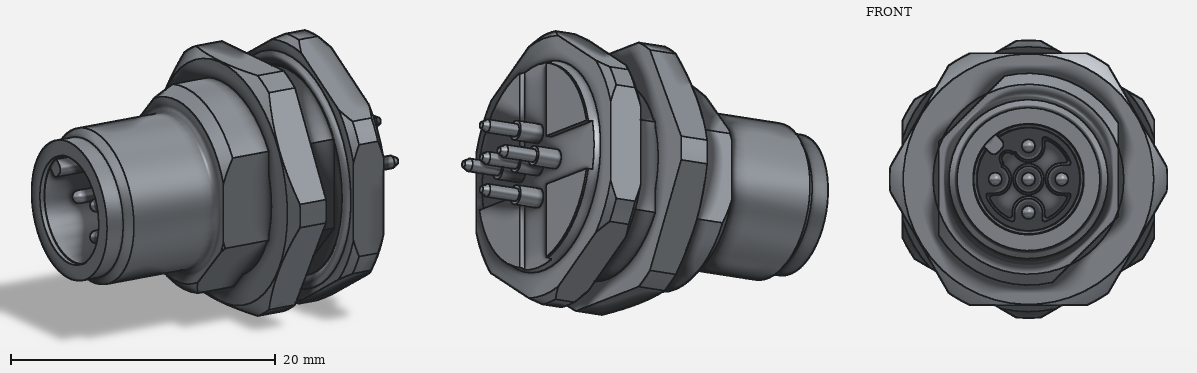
import cadquery as cq
import math


length = 27.6
rim_depth = 0.4
nose_end = 1.44
thread_start = 2.01
body_start = 9.5
nut_front = 13.52
nut_back = 16.35
flange_front = 19.38
flange_back = 22.05
slot_floor = 22.52
disc_rim_start = 22.83
disc_back = 23.0
pin_step = 24.55
pin_tip_length = 0.5

nose_radius = 10.8 / 2
thread_radius = 12.0 / 2
neck_fillet = 0.5
mouth_radius = 8.4 / 2
socket_radius = 4.15
socket_floor_radius = 3.9
socket_floor = 9.0

body_radius = 16.0 / 2
body_chamfer = 0.83
body_across_flats = 13.58
flat_angles = (0, -45)

hex_across_flats = 19.05
hex_corner_radius = 10.502
flange_chamfer = 0.5
nut_face_radius = 9.47
nut_chamfer_depth = 0.5
nut_bore_radius = 7.2

ring_radius = 8.65
ring_section_radius = 0.55
ring_protrusion = 0.35

disc_radius = 7.8
disc_base_radius = 8.1
slot_width = 3.75

pin_radius = 1.0 / 2
pin_collar_radius = 1.5 / 2
pin_tip_radius = 0.25
pin_pitch_radius = 2.5
pin_front = 1.93
ring_pins = [(pin_pitch_radius, 0), (0, pin_pitch_radius), (-pin_pitch_radius, 0), (0, -pin_pitch_radius)]

pocket_depth = 0.5
pocket_draft = 20.0
pocket_radius = 3.45
center_land_radius = 2.0 / 2
outer_land_radius = 1.05
pocket_corner_radius = 0.22
key_pocket_blend = 0.1
key_pocket_center = 2.2
key_pocket_radius = 0.63

key_angle = 135.0
key_width = 1.3
key_inner = 3.05
key_corner_radius = 0.45


def revolved(profile):
    """Turn a closed profile, drawn as (radius, Y), around the Y axis."""
    return profile.close().revolve(360, (0, 0, 0), (0, 1, 0))


def turned(points):
    """Turn a polygon of (radius, Y) points around the Y axis."""
    return revolved(cq.Workplane("XY").polyline(points))


def section(y):
    """Workplane across the axis at height y; its local axes are X and Z, and a negative extrusion runs to +Y."""
    return cq.Workplane("XZ", origin=(0, y, 0))


def about_axis(solid, angle):
    """Turn a solid about the axis, counterclockwise as seen from the nose."""
    return solid.rotate((0, 0, 0), (0, -1, 0), angle)


def make_nose():
    arc_x = thread_radius + neck_fillet * (1 - math.sqrt(0.5))
    arc_y = body_start - neck_fillet * (1 - math.sqrt(0.5))
    return revolved(
        cq.Workplane("XY")
        .moveTo(0, 0)
        .lineTo(nose_radius, 0)
        .lineTo(nose_radius, nose_end)
        .lineTo(thread_radius, thread_start)
        .lineTo(thread_radius, body_start - neck_fillet)
        .threePointArc((arc_x, arc_y), (thread_radius + neck_fillet, body_start))
        .lineTo(0, body_start)
    )


def make_body():
    body = turned([
        (0, body_start),
        (body_radius - body_chamfer, body_start),
        (body_radius, body_start + body_chamfer),
        (body_radius, flange_front),
        (0, flange_front),
    ])
    body_length = flange_front - body_start
    for angle in flat_angles:
        slab = section(body_start).rect(body_across_flats, 2 * body_radius).extrude(-body_length)
        body = body.intersect(about_axis(slab, angle))
    return body


def make_hexagon(front, back, turn):
    corner_diameter = hex_across_flats / math.cos(math.radians(30))
    return about_axis(section(front).polygon(6, corner_diameter).extrude(front - back), turn)


def make_nut():
    corners = turned([
        (0, nut_front),
        (nut_face_radius, nut_front),
        (hex_corner_radius, nut_front + nut_chamfer_depth),
        (hex_corner_radius, nut_back),
        (0, nut_back),
    ])
    bore = section(nut_front).circle(nut_bore_radius).extrude(nut_front - nut_back)
    return make_hexagon(nut_front, nut_back, 0).intersect(corners).cut(bore)


def make_flange():
    face_radius = hex_corner_radius - flange_chamfer
    corners = turned([
        (0, flange_front),
        (face_radius, flange_front),
        (hex_corner_radius, flange_front + flange_chamfer),
        (hex_corner_radius, flange_back - flange_chamfer),
        (face_radius, flange_back),
        (0, flange_back),
    ])
    return make_hexagon(flange_front, flange_back, 30).intersect(corners)


def make_sealing_ring():
    center_y = flange_front - ring_protrusion + ring_section_radius
    return (
        cq.Workplane("XY")
        .moveTo(ring_radius, center_y)
        .circle(ring_section_radius)
        .revolve(360, (0, 0, 0), (0, 1, 0))
    )


def make_rear_disc():
    disc = turned([
        (0, flange_back),
        (disc_base_radius, flange_back),
        (disc_radius, disc_rim_start),
        (disc_radius, disc_back),
        (0, disc_back),
    ])
    slot_length = 2 * disc_base_radius
    slot = section(slot_floor).rect(slot_width, slot_length).extrude(slot_floor - disc_back)
    return disc.cut(slot).cut(about_axis(slot, 90))


def make_socket():
    return turned([
        (0, 0),
        (mouth_radius, 0),
        (mouth_radius, rim_depth),
        (socket_radius, rim_depth),
        (socket_floor_radius, socket_floor),
        (0, socket_floor),
    ])


def make_key():
    wall_middle = (mouth_radius + nose_radius) / 2
    key_length = wall_middle - key_inner
    key = (
        section(rim_depth)
        .center(key_inner + key_length / 2, 0)
        .rect(key_length, key_width)
        .extrude(rim_depth - socket_floor)
        .edges("|Y and <X")
        .fillet(key_corner_radius)
    )
    return about_axis(key, key_angle)


def make_pin_land():
    """Drafted land around the pin on the +X side, open towards the socket wall."""
    return (
        section(socket_floor)
        .moveTo(socket_radius, outer_land_radius)
        .lineTo(pin_pitch_radius, outer_land_radius)
        .threePointArc((pin_pitch_radius - outer_land_radius, 0), (pin_pitch_radius, -outer_land_radius))
        .lineTo(socket_radius, -outer_land_radius)
        .close()
        .extrude(-pocket_depth, taper=-pocket_draft)
    )


def make_key_land():
    """Land behind the key, ending in a round hollow whose seam is turned to the open side of the pocket."""
    land_length = socket_radius - key_pocket_center
    land = (
        section(socket_floor)
        .center(key_pocket_center + land_length / 2, 0)
        .rect(land_length, 2 * pin_pitch_radius)
        .extrude(-pocket_depth)
    )
    hollow = (
        section(socket_floor)
        .center(key_pocket_center, 0)
        .circle(key_pocket_radius)
        .extrude(-pocket_depth, taper=pocket_draft)
        .rotate((key_pocket_center, 0, 0), (key_pocket_center, 1, 0), 180)
    )
    return about_axis(land.cut(hollow), key_angle)


def make_pockets():
    pockets = section(socket_floor).circle(pocket_radius).extrude(-pocket_depth, taper=pocket_draft)
    pin_land = make_pin_land()
    for quarter in range(4):
        pockets = pockets.cut(about_axis(pin_land, 90 * quarter))
    pockets = pockets.cut(make_key_land())
    pockets = pockets.edges("%HYPERBOLA").fillet(key_pocket_blend)
    pockets = pockets.edges("%PARABOLA").fillet(pocket_corner_radius)
    center_land = section(socket_floor).circle(center_land_radius).extrude(-pocket_depth, taper=-pocket_draft)
    return pockets.cut(center_land)


def make_pin(x, z):
    """Domed contact pin that steps up to a collar behind the slot floor and ends in a tapered tip."""
    dome_center = pin_front + pin_radius
    dome_middle = pin_radius * math.sqrt(0.5)
    pin = revolved(
        cq.Workplane("XY")
        .moveTo(0, pin_front)
        .threePointArc((dome_middle, dome_center - dome_middle), (pin_radius, dome_center))
        .lineTo(pin_radius, slot_floor)
        .lineTo(pin_collar_radius, slot_floor)
        .lineTo(pin_collar_radius, pin_step)
        .lineTo(pin_radius, pin_step)
        .lineTo(pin_radius, length - pin_tip_length)
        .lineTo(pin_tip_radius, length)
        .lineTo(0, length)
    )
    return pin.translate((x, 0, z))


result = make_nose().union(make_body()).union(make_nut()).union(make_flange())
result = result.union(make_sealing_ring()).union(make_rear_disc())
result = result.cut(make_socket()).cut(make_pockets()).union(make_key())

for pin_x, pin_z in [(0, 0)] + ring_pins:
    result = result.union(make_pin(pin_x, pin_z))